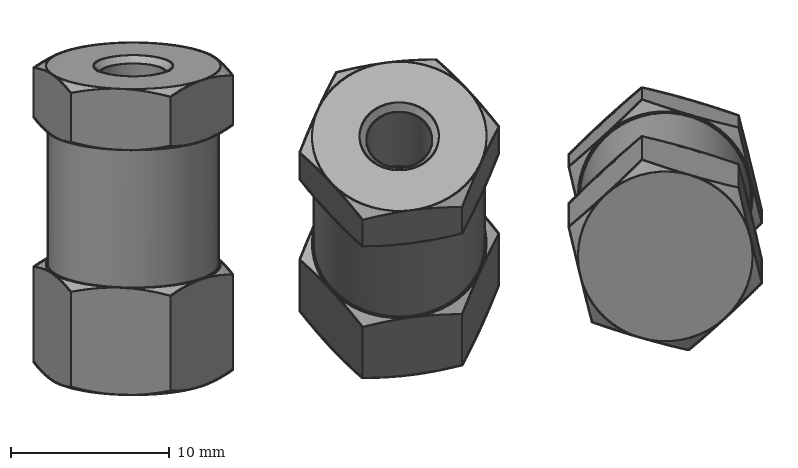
import cadquery as cq
import math

total_height = 20.0
across_flats = 11.0
across_corners = across_flats / math.cos(math.radians(30))

bottom_hex_height = 7.0
top_hex_height = 4.0
body_diameter = 10.78
corner_bevel_angle = 25.0

hole_diameter = 4.15
hole_depth = 7.0
countersink_diameter = 5.0
countersink_depth = (countersink_diameter - hole_diameter) / 2


def beveled_hexagon(base_z, height):
    """Hexagonal prism with corners on X, its corners turned to a cone at both ends."""
    flat_radius = across_flats / 2
    corner_radius = across_corners / 2
    bevel_drop = (corner_radius - flat_radius) * math.tan(math.radians(corner_bevel_angle))
    prism = cq.Workplane("XY").polygon(6, across_corners).extrude(height)
    turned_envelope = (
        cq.Workplane("XZ")
        .moveTo(0, 0)
        .lineTo(flat_radius, 0)
        .lineTo(corner_radius, bevel_drop)
        .lineTo(corner_radius, height - bevel_drop)
        .lineTo(flat_radius, height)
        .lineTo(0, height)
        .close()
        .revolve(360, (0, 0, 0), (0, 1, 0))
    )
    return prism.intersect(turned_envelope).translate((0, 0, base_z))


def countersunk_hole():
    """Cutter for the blind hole and its conical mouth."""
    hole_radius = hole_diameter / 2
    return (
        cq.Workplane("XZ")
        .moveTo(0, total_height)
        .lineTo(countersink_diameter / 2, total_height)
        .lineTo(hole_radius, total_height - countersink_depth)
        .lineTo(hole_radius, total_height - hole_depth)
        .lineTo(0, total_height - hole_depth)
        .close()
        .revolve(360, (0, 0, 0), (0, 1, 0))
    )


body = cq.Workplane("XY").circle(body_diameter / 2).extrude(total_height)
bottom_hex = beveled_hexagon(0, bottom_hex_height)
top_hex = beveled_hexagon(total_height - top_hex_height, top_hex_height)

result = body.union(bottom_hex).union(top_hex).cut(countersunk_hole())